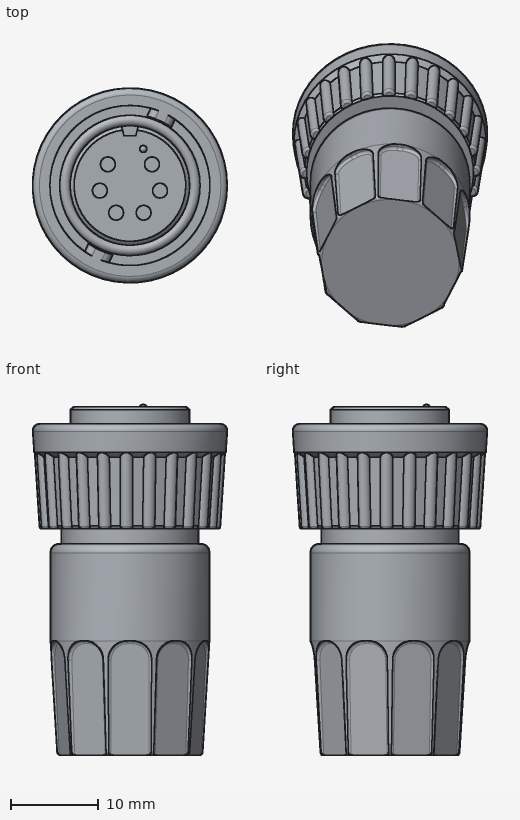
import cadquery as cq
import math

total_height = 40.05

nut_top = 37.83
nut_bottom = 25.85
nut_diameter = 22.2
nut_radius = nut_diameter / 2
nut_rim_height = 0.9
nut_rim_width = 0.75
nut_taper = math.radians(3.7)
band_bottom = 34.6
step_height = 0.55
groove_depth = 0.7
nut_chamfer_height = 0.32
nut_chamfer_width = 0.2
bore_radius = 9.13
bore_floor = 32.42

rib_count = 24
rib_radius = 0.72
rib_setback = 0.1
rib_bottom_fillet = 0.32

key_angle = 65.3
key_count = 2
key_inner_radius = 8.13
key_width = 3.05
key_fillet = 0.92
key_root_overlap = 0.25
first_rib_angle = key_angle + 180 / rib_count

seal_radius = 7.4
seal_thickness = 1.2

insert_radius = 6.8
insert_top = 39.8
insert_chamfer_width = 0.45
insert_chamfer_height = 0.35
notch_outer_width = 1.92
notch_inner_width = 1.35
notch_inner_radius = 5.7
pin_circle_radius = 3.5
pin_hole_radius = 0.85
pin_hole_depth = 0.6
pin_count = 6
pin_spacing = 53.5
dot_x = 1.52
dot_y = 4.15
dot_radius = 0.4
dot_height = total_height - insert_top

neck_radius = 7.85
body_radius = 9.1
body_top = 24.15
body_top_fillet = 1.0
grip_top = 13.1
grip_bottom_radius = 8.3
grip_bottom_fillet = 0.5

flat_count = 10
flat_top = 13.1
flat_half_width = 2.5
flat_corner_radius = 2.15
flat_bottom_distance = 7.8
flat_taper = 2.8
flat_edge_fillet = 0.32
cutter_depth = 2.4


def nut_radius_at(z):
    """Outer radius of the tapered nut at height z."""
    return nut_radius - (nut_top - nut_rim_height - z) * math.tan(nut_taper)


def revolve_profile(profile):
    return profile.close().revolve(360, (0, 0, 0), (0, 1, 0))


def make_body():
    fillet_middle = body_top_fillet * (1 - math.sqrt(0.5))
    profile = (
        cq.Workplane("XZ")
        .lineTo(grip_bottom_radius, 0)
        .lineTo(body_radius, grip_top)
        .lineTo(body_radius, body_top - body_top_fillet)
        .threePointArc(
            (body_radius - fillet_middle, body_top - fillet_middle),
            (body_radius - body_top_fillet, body_top),
        )
        .lineTo(neck_radius, body_top)
        .lineTo(neck_radius, bore_floor)
        .lineTo(0, bore_floor)
    )
    body = revolve_profile(profile)
    return body.faces("<Z").edges().fillet(grip_bottom_fillet)


def make_flat_cutter():
    """Pocket cutter on the -Y side, leaning inward towards the bottom."""
    lean = math.radians(flat_taper)
    length = flat_top / math.cos(lean)
    overshoot = 2 * flat_edge_fillet
    cutter = (
        cq.Workplane("XY")
        .box(2 * flat_half_width, cutter_depth, length + overshoot, centered=(True, False, False))
        .edges("|Y and >Z")
        .fillet(flat_corner_radius)
        .faces(">Y")
        .edges()
        .fillet(flat_edge_fillet)
    )
    return (
        cutter.translate((0, -cutter_depth, -overshoot))
        .rotate((0, 0, 0), (1, 0, 0), flat_taper)
        .translate((0, -flat_bottom_distance, 0))
    )


def cut_flats(body):
    cutter = make_flat_cutter()
    for i in range(flat_count):
        body = body.cut(cutter.rotate((0, 0, 0), (0, 0, 1), i * 360 / flat_count))
    return body


def make_nut():
    step_bottom = band_bottom - step_height
    chamfer_top = nut_bottom + nut_chamfer_height
    rim_start = nut_top - nut_rim_height
    rim_middle = (
        nut_radius - nut_rim_width * (1 - math.sqrt(0.5)),
        rim_start + nut_rim_height * math.sqrt(0.5),
    )
    profile = (
        cq.Workplane("XZ")
        .moveTo(0, nut_bottom)
        .lineTo(nut_radius_at(nut_bottom) - groove_depth - nut_chamfer_width, nut_bottom)
        .lineTo(nut_radius_at(chamfer_top) - groove_depth, chamfer_top)
        .lineTo(nut_radius_at(step_bottom) - groove_depth, step_bottom)
        .lineTo(nut_radius_at(band_bottom), band_bottom)
        .lineTo(nut_radius, rim_start)
        .threePointArc(rim_middle, (nut_radius - nut_rim_width, nut_top))
        .lineTo(bore_radius, nut_top)
        .lineTo(bore_radius, bore_floor)
        .lineTo(0, bore_floor)
    )
    return revolve_profile(profile)


def add_ribs(nut):
    rib_length = (band_bottom - nut_bottom) / math.cos(nut_taper)
    rib = (
        cq.Workplane("XY")
        .circle(rib_radius)
        .extrude(rib_length)
        .faces("<Z")
        .edges()
        .fillet(rib_bottom_fillet)
        .rotate((0, 0, 0), (0, 1, 0), math.degrees(nut_taper))
        .translate((nut_radius_at(nut_bottom) - rib_setback - rib_radius, 0, nut_bottom))
    )
    for i in range(rib_count):
        nut = nut.union(rib.rotate((0, 0, 0), (0, 0, 1), first_rib_angle + i * 360 / rib_count))
    return nut


def add_keys(nut):
    ring = (
        cq.Workplane("XY")
        .workplane(offset=bore_floor)
        .circle(bore_radius + key_root_overlap)
        .circle(key_inner_radius)
        .extrude(nut_top - bore_floor)
    )
    block = (
        cq.Workplane("XY")
        .workplane(offset=bore_floor)
        .rect(nut_radius, key_width)
        .extrude(nut_top - bore_floor)
        .edges("|X and >Z")
        .fillet(key_fillet)
        .translate((nut_radius, 0, 0))
    )
    key = ring.intersect(block)
    for i in range(key_count):
        nut = nut.union(key.rotate((0, 0, 0), (0, 0, 1), key_angle + i * 360 / key_count))
    return nut


def make_seal():
    return (
        cq.Workplane("XZ")
        .center(seal_radius, bore_floor)
        .circle(seal_thickness / 2)
        .revolve(360, (-seal_radius, 0, 0), (-seal_radius, 1, 0))
    )


def make_insert():
    profile = (
        cq.Workplane("XZ")
        .moveTo(0, nut_bottom)
        .lineTo(insert_radius, nut_bottom)
        .lineTo(insert_radius, insert_top - insert_chamfer_height)
        .lineTo(insert_radius - insert_chamfer_width, insert_top)
        .lineTo(0, insert_top)
    )
    insert = revolve_profile(profile)
    notch = (
        cq.Workplane("XY")
        .workplane(offset=bore_floor)
        .moveTo(-notch_inner_width / 2, notch_inner_radius)
        .lineTo(notch_inner_width / 2, notch_inner_radius)
        .lineTo(notch_outer_width / 2, insert_radius)
        .lineTo(-notch_outer_width / 2, insert_radius)
        .close()
        .extrude(insert_top - bore_floor)
    )
    return insert.cut(notch)


def drill_pin_holes(part):
    for i in range(pin_count):
        angle = math.radians(-90 + (i - (pin_count - 1) / 2) * pin_spacing)
        hole = (
            cq.Workplane("XY")
            .workplane(offset=insert_top - pin_hole_depth)
            .center(pin_circle_radius * math.cos(angle), pin_circle_radius * math.sin(angle))
            .circle(pin_hole_radius)
            .extrude(pin_hole_depth)
        )
        part = part.cut(hole)
    return part


def make_marker_dot():
    """Shallow dome on the insert face."""
    sphere_radius = (dot_radius**2 + dot_height**2) / (2 * dot_height)
    sphere_center = insert_top + dot_height - sphere_radius
    return cq.Workplane("XY").sphere(sphere_radius).translate((dot_x, dot_y, sphere_center))


nut = add_keys(add_ribs(make_nut()))
part = cut_flats(make_body()).union(nut).union(make_seal()).union(make_insert())
result = drill_pin_holes(part).union(make_marker_dot())